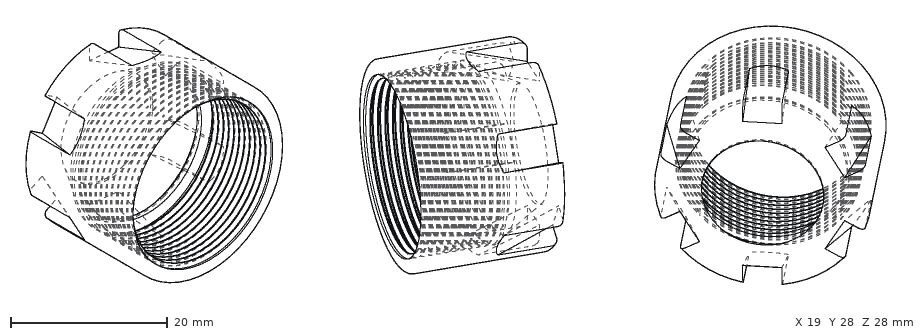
import cadquery as cq
import math

outer_radius = 14.0
length = 19.0
front_round = 1.0
rear_round = 0.5

slot_count = 6
slot_width = 5.05
slot_front_radius = 10.8
slot_length = 8.82

mouth_radius = 7.9
mouth_round = 0.28
cone_half_angle = 30.0
cone_end = 5.8
lip_groove_radius = 0.7
lip_start = cone_end + lip_groove_radius
lip_radius = 10.22
lip_end = 7.35
relief_length = 0.42

thread_minor_radius = 11.42
thread_major_radius = 12.0
thread_pitch = 1.0
thread_flat = 0.15


def make_body():
    body = cq.Workplane("YZ").circle(outer_radius).extrude(length)
    return body.faces("<X").edges().fillet(front_round).faces(">X").edges().fillet(rear_round)


def make_bore():
    cone_start = 2 * mouth_round
    cone_growth = (cone_end - cone_start) * math.tan(math.radians(cone_half_angle))
    thread_start = lip_end + relief_length
    profile = (
        cq.Workplane("XY")
        .lineTo(0, mouth_radius + mouth_round)
        .radiusArc((mouth_round, mouth_radius), -mouth_round)
        .lineTo(cone_start, mouth_radius)
        .lineTo(cone_end, mouth_radius + cone_growth)
        .radiusArc((lip_start, mouth_radius + cone_growth - lip_groove_radius), lip_groove_radius)
        .lineTo(lip_start, lip_radius)
        .lineTo(lip_end, lip_radius)
        .lineTo(lip_end, thread_major_radius)
        .lineTo(thread_start, thread_major_radius)
    )
    flank = thread_pitch / 2 - thread_flat
    groove_count = math.floor((length - thread_start) / thread_pitch)
    for index in range(groove_count):
        x = thread_start + index * thread_pitch
        profile = (
            profile.lineTo(x + flank, thread_minor_radius)
            .lineTo(x + flank + thread_flat, thread_minor_radius)
            .lineTo(x + 2 * flank + thread_flat, thread_major_radius)
            .lineTo(x + thread_pitch, thread_major_radius)
        )
    profile = profile.lineTo(length, thread_major_radius).lineTo(length, 0).close()
    return profile.revolve(360, (0, 0, 0), (1, 0, 0))


def make_slot():
    return (
        cq.Workplane("XZ")
        .moveTo(0, slot_front_radius)
        .lineTo(slot_length, outer_radius)
        .lineTo(0, outer_radius)
        .close()
        .extrude(slot_width / 2, both=True)
    )


result = make_body().cut(make_bore())
slot = make_slot()
for index in range(slot_count):
    result = result.cut(slot.rotate((0, 0, 0), (1, 0, 0), index * 360 / slot_count))